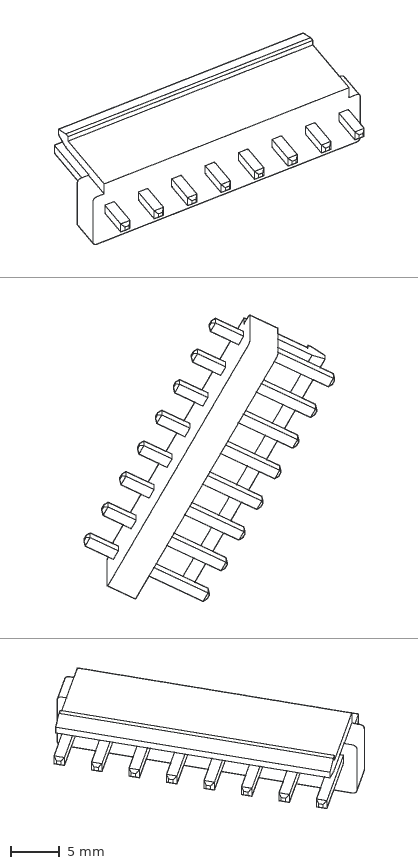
import cadquery as cq

base_depth = 3.23
base_length = 31.68
base_height = 6.7
base_edge_radius = 0.5

latch_length = 29.0
latch_reach = 9.4
latch_underside = 6.8
latch_thickness = 1.27

hook_top = 8.7
hook_lead_in = 1.52
hook_crest_width = 0.48
nose_bottom = 7.35
nose_top = 8.15

pin_count = 8
pin_pitch = 3.95
pin_width = 1.1
pin_height = 4.5
pin_front_length = 7.48
pin_total_length = 14.3
pin_tip_chamfer = 0.32


def make_base():
    return (
        cq.Workplane("XY")
        .box(base_depth, base_length, base_height, centered=(False, True, False))
        .edges("|X")
        .fillet(base_edge_radius)
    )


def make_latch():
    nose_x = base_depth - latch_reach
    crest_x = nose_x + hook_lead_in
    catch_x = crest_x + hook_crest_width
    plate_top = latch_underside + latch_thickness
    profile = [
        (nose_x, nose_bottom),
        (nose_x, nose_top),
        (crest_x, hook_top),
        (catch_x, hook_top),
        (catch_x, plate_top),
        (base_depth, plate_top),
        (base_depth, base_height),
        (0, base_height),
        (0, latch_underside),
        (crest_x, latch_underside),
    ]
    return (
        cq.Workplane("XZ")
        .polyline(profile)
        .close()
        .extrude(latch_length / 2, both=True)
    )


def make_pin(y):
    return (
        cq.Workplane("XY")
        .box(pin_total_length, pin_width, pin_width, centered=(False, True, True))
        .faces("<X or >X")
        .chamfer(pin_tip_chamfer)
        .translate((-pin_front_length, y, pin_height))
    )


result = make_base().union(make_latch())
first_pin_y = -pin_pitch * (pin_count - 1) / 2
for index in range(pin_count):
    result = result.union(make_pin(first_pin_y + index * pin_pitch))